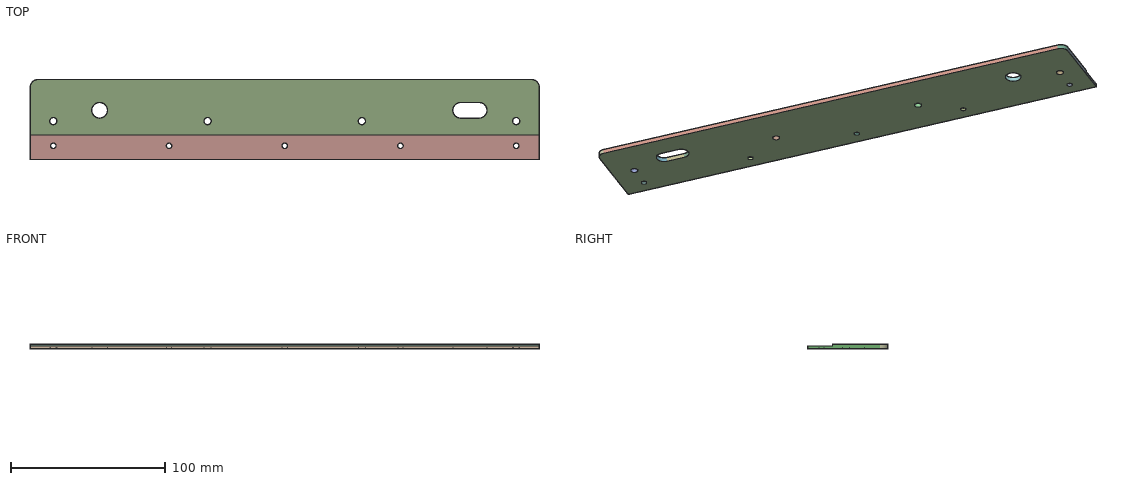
import cadquery as cq

length = 330.0
width = 52.0
thickness = 3.0
corner_radius = 5.0

ledge_width = 16.0
ledge_thickness = 2.0

row_end_margin = 15.0
ledge_hole_count = 5
ledge_hole_diameter = 3.4
ledge_hole_y = 9.0
plate_hole_count = 4
plate_hole_diameter = 4.5
plate_hole_y = 25.0

opening_end_margin = 45.0
opening_y = 32.0
opening_width = 10.0
slot_length = 22.0


def row_points(count, y):
    """Evenly spaced points along the plate between the row end margins."""
    pitch = (length - 2 * row_end_margin) / (count - 1)
    return [(row_end_margin + i * pitch, y) for i in range(count)]


def make_plate():
    """Stepped plate with its two rear corners rounded."""
    profile = [
        (0, 0),
        (width, 0),
        (width, thickness),
        (ledge_width, thickness),
        (ledge_width, ledge_thickness),
        (0, ledge_thickness),
    ]
    plate = cq.Workplane("YZ").polyline(profile).close().extrude(length)
    return plate.edges("|Z and >Y").fillet(corner_radius)


def through_holes(points, diameter):
    """Round cutters through the whole thickness."""
    return cq.Workplane("XY").pushPoints(points).circle(diameter / 2).extrude(thickness)


def through_slot(center):
    """Cutter for a round-ended slot along X."""
    return cq.Workplane("XY").pushPoints([center]).slot2D(slot_length, opening_width).extrude(thickness)


result = (
    make_plate()
    .cut(through_holes(row_points(ledge_hole_count, ledge_hole_y), ledge_hole_diameter))
    .cut(through_holes(row_points(plate_hole_count, plate_hole_y), plate_hole_diameter))
    .cut(through_holes([(opening_end_margin, opening_y)], opening_width))
    .cut(through_slot((length - opening_end_margin, opening_y)))
)